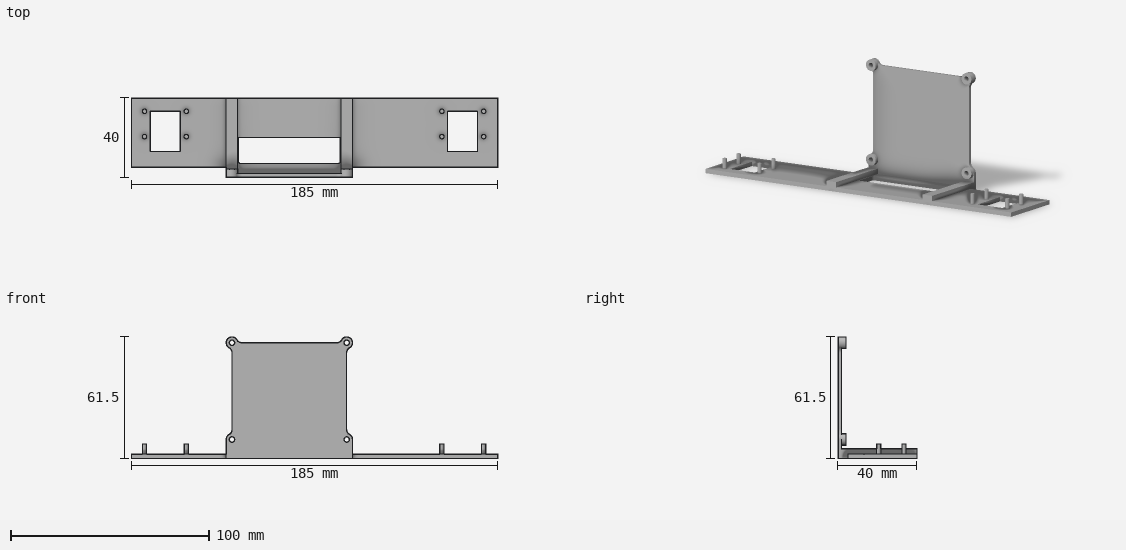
import cadquery as cq
import math

base_length = 185.0
base_depth = 35.0
base_thickness = 2.2
base_left = -base_length / 2

total_depth = 40.0
total_height = 61.5
panel_center_x = -12.8
panel_thickness = 1.8
front_y = -total_depth

lug_radius = 3.0
lug_depth = 4.0
lug_fillet = 3.0
hole_diameter = 2.5
hole_pitch_x = 57.9
hole_pitch_z = 48.8
upper_hole_z = total_height - lug_radius
lower_hole_z = upper_hole_z - hole_pitch_z
panel_width = hole_pitch_x + 2 * lug_radius

bar_width = 5.7
bar_height = 5.0

window_width = 51.2
window_back = 20.0
window_front = 33.0
window_corner = 1.0

servo_start_x = 9.6
servo_length_x = 15.0
servo_back = 6.7
servo_depth = 20.2
post_diameter = 2.2
post_top = 7.4
post_start_x = 6.7
post_pitch_x = 21.0
post_back = 6.7
post_pitch_y = 12.8
right_servo_shift = 150.0


def block(x, y, z, length, depth, height):
    """Box given by its lowest corner and its size."""
    return cq.Workplane("XY").box(length, depth, height, centered=False).translate((x, y, z))


def cylinder_y(x, z, radius, depth):
    """Cylinder running back from the front face."""
    direction = cq.Vector(0, 1, 0)
    return cq.Workplane(cq.Solid.makeCylinder(radius, depth, cq.Vector(x, front_y, z), direction))


def make_base():
    strip = block(base_left, -base_depth, 0, base_length, base_depth, base_thickness)
    tongue = block(panel_center_x - panel_width / 2, front_y, 0, panel_width, total_depth, base_thickness)
    base = strip.union(tongue)
    for side in (-1, 1):
        bar_center = panel_center_x + side * (panel_width - bar_width) / 2
        base = base.union(block(bar_center - bar_width / 2, front_y, 0, bar_width, total_depth, bar_height))
    return base


def make_window():
    depth = window_front - window_back
    window = block(panel_center_x - window_width / 2, -window_front, 0, window_width, depth, bar_height)
    return window.edges("|Z and <Y").fillet(window_corner)


def fillet_web(x, z, along, outward):
    """Web from a lug centre along a panel edge; its concave arc is tangent to the lug and the edge."""
    run = math.sqrt((lug_radius + lug_fillet) ** 2 - lug_fillet**2)
    blend = lug_radius / (lug_radius + lug_fillet)
    middle_angle = (math.atan2(lug_fillet, run) + math.pi / 2) / 2

    def point(distance, rise):
        return (
            x + distance * along[0] + rise * outward[0],
            z + distance * along[1] + rise * outward[1],
        )

    arc_middle = point(
        run - lug_fillet * math.cos(middle_angle),
        lug_fillet - lug_fillet * math.sin(middle_angle),
    )
    return (
        cq.Workplane("XZ", origin=(0, front_y, 0))
        .moveTo(x, z)
        .lineTo(*point(blend * run, blend * lug_fillet))
        .threePointArc(arc_middle, point(run, 0))
        .close()
        .extrude(-panel_thickness)
    )


def make_panel():
    sheet = block(
        panel_center_x - hole_pitch_x / 2, front_y, 0, hole_pitch_x, panel_thickness, upper_hole_z
    )
    foot = block(
        panel_center_x - panel_width / 2, front_y, 0, panel_width, panel_thickness, lower_hole_z
    )
    panel = sheet.union(foot)
    for side in (-1, 1):
        x = panel_center_x + side * hole_pitch_x / 2
        for z in (lower_hole_z, upper_hole_z):
            panel = panel.union(cylinder_y(x, z, lug_radius, lug_depth))
        panel = panel.union(fillet_web(x, lower_hole_z, (0, 1), (side, 0)))
        panel = panel.union(fillet_web(x, upper_hole_z, (0, -1), (side, 0)))
        panel = panel.union(fillet_web(x, upper_hole_z, (-side, 0), (0, 1)))
    return panel


def make_screw_holes():
    holes = cq.Workplane("XY")
    for x_side in (-1, 1):
        for z in (lower_hole_z, upper_hole_z):
            x = panel_center_x + x_side * hole_pitch_x / 2
            holes = holes.add(cylinder_y(x, z, hole_diameter / 2, lug_depth))
    return holes.combine()


def add_servo_mount(body, start_x):
    """Cut one servo opening and stand four posts around it."""
    opening_y = -servo_back - servo_depth
    opening = block(start_x + servo_start_x, opening_y, 0, servo_length_x, servo_depth, base_thickness)
    posts = [
        (start_x + post_start_x + column * post_pitch_x, -post_back - row * post_pitch_y)
        for column in (0, 1)
        for row in (0, 1)
    ]
    pins = cq.Workplane("XY").pushPoints(posts).circle(post_diameter / 2).extrude(post_top)
    return body.cut(opening).union(pins)


result = make_base().cut(make_window()).union(make_panel()).cut(make_screw_holes())
for mount_x in (base_left, base_left + right_servo_shift):
    result = add_servo_mount(result, mount_x)